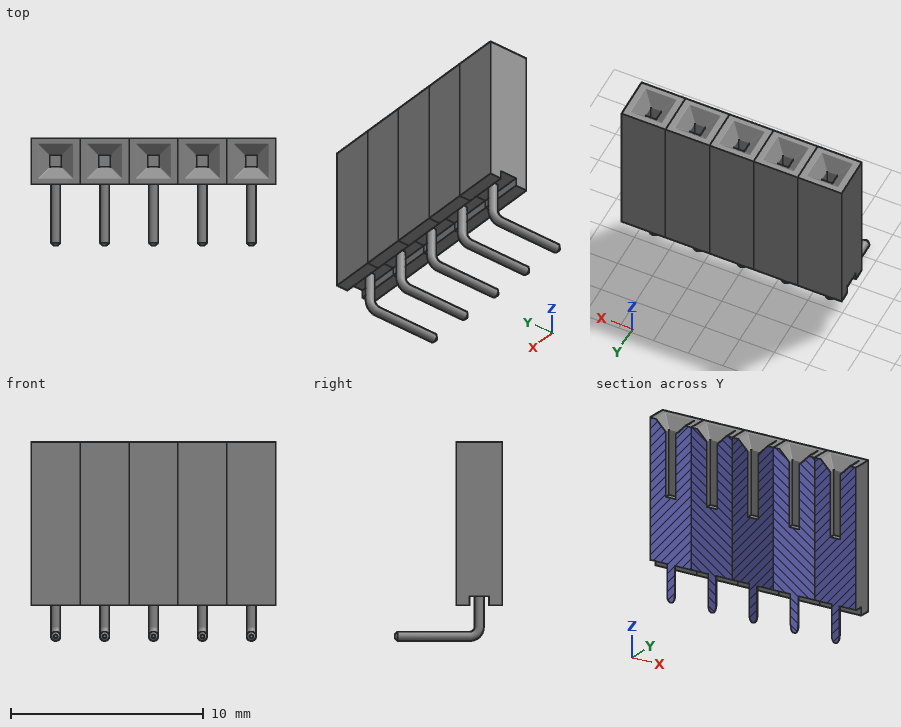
import cadquery as cq

cell_count = 5
row_length = 12.7
pitch = row_length / cell_count
cell_depth = 2.4
cell_height = 8.5

mouth_size = 1.8
hole_size = 0.6
funnel_depth = (mouth_size - hole_size) / 2
socket_depth = cell_height / 2
funnel_rounding = 0.05

groove_width = 1.0
groove_depth = 0.47

pin_diameter = 0.5
pin_radius = pin_diameter / 2
bend_radius = pin_diameter
pin_reach = 4.4
pin_drop = 1.85
tip_chamfer = 0.15
pin_axis_z = pin_radius - pin_drop


def make_housing():
    """Square-section cell with its underside at Z = 0, grooved along X."""
    block = cq.Workplane("XY").box(pitch, cell_depth, cell_height, centered=(True, True, False))
    groove = cq.Workplane("XY").box(pitch, groove_width, groove_depth, centered=(True, True, False))
    return block.cut(groove)


def make_socket():
    """Cavity shape: square funnel at the top of the cell above a straight square hole."""
    funnel = (
        cq.Workplane("XY", origin=(0, 0, cell_height))
        .rect(mouth_size, mouth_size)
        .workplane(offset=-funnel_depth)
        .rect(hole_size, hole_size)
        .loft()
    )
    hole = (
        cq.Workplane("XY", origin=(0, 0, cell_height - socket_depth))
        .rect(hole_size, hole_size)
        .extrude(socket_depth - funnel_depth)
    )
    return funnel.union(hole)


def make_pin():
    """Round pin that drops from the groove, bends through 90 degrees and runs toward -Y."""
    bend_top_z = pin_axis_z + bend_radius
    drop = (
        cq.Workplane("XY", origin=(0, 0, bend_top_z))
        .circle(pin_radius)
        .extrude(groove_depth - bend_top_z)
    )
    bend = (
        cq.Workplane("XY", origin=(0, 0, bend_top_z))
        .circle(pin_radius)
        .revolve(90, (0.13, -bend_radius, 0), (0, -bend_radius, 0))
    )
    leg = (
        cq.Workplane("XZ", origin=(0, -bend_radius, pin_axis_z))
        .circle(pin_radius)
        .extrude(pin_reach - bend_radius)
        .faces("<Y")
        .chamfer(tip_chamfer)
    )
    return drop.union(bend).union(leg)


def round_funnel(housing):
    """Round every edge of the four funnel faces: mouth rim, slanted corners and hole rim."""
    margin = funnel_rounding
    half_width = mouth_size / 2 + margin
    funnel_zone = cq.selectors.BoxSelector(
        (-half_width, -half_width, cell_height - funnel_depth - margin),
        (half_width, half_width, cell_height + margin),
    )
    return housing.edges(funnel_zone).fillet(funnel_rounding)


def make_cell():
    """One contact cell: housing with its socket and its pin."""
    housing = round_funnel(make_housing().cut(make_socket()))
    return housing.union(make_pin())


cell = make_cell()
cells = []
for index in range(cell_count):
    cell_x = (index - (cell_count - 1) / 2) * pitch
    cells.extend(cell.translate((cell_x, 0, 0)).solids().vals())

result = cq.Compound.makeCompound(cells)